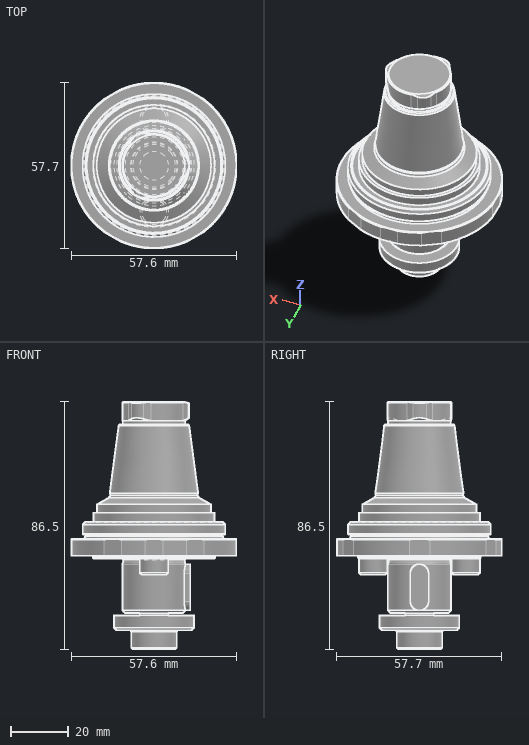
import cadquery as cq
import math

total_height = 86.5

nose_radius = 16.0 / 2
nose_chamfer = 0.6
root_flare = 0.3
root_flare_height = 0.4
disc_bottom = 6.6
disc_top = 11.85
disc_radius = 28.0 / 2
disc_chamfer = 0.95
pin_radius = 10.0 / 2

spigot_bottom = 12.6
spigot_radius = 11.1
spigot_chamfer = 0.95
spigot_shoulder = 29.75
relief_height = 0.9
relief_radius = 21.6 / 2
key_reach = 12.7
key_width = 6.4
key_bottom = 13.6

plate_bottom = 31.7
plate_radius = 43.0 / 2
plate_chamfer = 0.4
ring_bottom = 32.6
ring_top = 38.6
ring_chamfer = 0.3
main_flat_distance = 57.6 / 2
cross_flat_distance = 57.7 / 2
main_flat_half_angle = 7.0
ring_radius = main_flat_distance / math.cos(math.radians(main_flat_half_angle))

neck_radius = 48.1 / 2
neck_flare = 0.35
neck_flare_height = 0.95
flange_bottom = 40.0
flange_top = 44.6
flange_radius = 50.0 / 2
flange_chamfer = 1.0
flange_recess_radius = 23.4
flange_recess_depth = 0.2
flange_bottom_chamfer = 0.35
middle_step_top = 47.75
middle_step_radius = 42.4 / 2
upper_step_top = 50.6
upper_step_radius = 40.0 / 2

collar_bottom = 52.9
collar_bottom_radius = 15.8
collar_top = 53.8
collar_radius = 15.2
taper_bottom = 54.6
taper_bottom_radius = 15.5
taper_top = 78.2
taper_top_radius = 12.4
taper_chamfer = 0.5
head_neck_radius = 22.0 / 2

head_bottom = 79.8
head_radius = 11.1
head_chamfer = 0.35
lobe_count = 3
lobe_reach = 12.3
lobe_shoulder_radius = 11.85
lobe_shoulder_angle = 11.5
lobe_root_angle = 24.0
lobe_top_drop = 0.5
lobe_bottom_rise = 1.0

drive_pin_offset = 16.2
drive_pin_bottom = 26.0
drive_pin_chamfer = 0.7


def make_turned_body():
    profile = [
        (0, 0),
        (nose_radius - nose_chamfer, 0),
        (nose_radius, nose_chamfer),
        (nose_radius, disc_bottom - root_flare_height),
        (nose_radius + root_flare, disc_bottom),
        (disc_radius - disc_chamfer, disc_bottom),
        (disc_radius, disc_bottom + disc_chamfer),
        (disc_radius, disc_top),
        (pin_radius, disc_top),
        (pin_radius, spigot_bottom),
        (spigot_radius - spigot_chamfer, spigot_bottom),
        (spigot_radius, spigot_bottom + spigot_chamfer),
        (spigot_radius, spigot_shoulder),
        (relief_radius, spigot_shoulder + relief_height),
        (relief_radius, plate_bottom - root_flare_height),
        (relief_radius + root_flare, plate_bottom),
        (plate_radius - plate_chamfer, plate_bottom),
        (plate_radius, plate_bottom + plate_chamfer),
        (plate_radius, ring_bottom),
        (neck_radius + neck_flare, ring_bottom),
        (neck_radius + neck_flare, ring_top),
        (neck_radius, ring_top + neck_flare_height),
        (neck_radius, flange_bottom),
        (flange_radius - flange_bottom_chamfer, flange_bottom),
        (flange_radius, flange_bottom + flange_bottom_chamfer),
        (flange_radius, flange_top - flange_chamfer),
        (flange_radius - flange_chamfer, flange_top),
        (flange_recess_radius, flange_top),
        (flange_recess_radius, flange_top - flange_recess_depth),
        (middle_step_radius, flange_top - flange_recess_depth),
        (middle_step_radius, middle_step_top),
        (upper_step_radius, middle_step_top),
        (upper_step_radius, upper_step_top),
        (collar_bottom_radius, collar_bottom),
        (collar_radius, collar_top),
        (taper_bottom_radius, taper_bottom),
        (taper_top_radius, taper_top),
        (taper_top_radius - taper_chamfer, taper_top + taper_chamfer),
        (head_neck_radius, taper_top + taper_chamfer),
        (head_neck_radius, head_bottom),
        (head_radius, head_bottom),
        (head_radius, total_height - head_chamfer),
        (head_radius - head_chamfer, total_height),
        (0, total_height),
    ]
    return cq.Workplane("XZ").polyline(profile).close().revolve(360, (0, 0), (0, 1))


def make_ring():
    """Disc whose rim has six main flats and a pair of cross flats on the Y axis."""
    height = ring_top - ring_bottom
    ring = cq.Workplane("XY").workplane(offset=ring_bottom).circle(ring_radius).extrude(height)
    ring = ring.faces(">Z").edges().chamfer(ring_chamfer)
    flats = [(angle, main_flat_distance) for angle in range(0, 360, 60)]
    flats += [(angle, cross_flat_distance) for angle in (90, 270)]
    for angle, distance in flats:
        cutter = (
            cq.Workplane("XY")
            .workplane(offset=ring_bottom)
            .center(distance + ring_radius / 2, 0)
            .rect(ring_radius, ring_radius)
            .extrude(height)
            .rotate((0, 0, 0), (0, 0, 1), angle)
        )
        ring = ring.cut(cutter)
    return ring


def polar(radius, degrees):
    angle = math.radians(degrees)
    return (radius * math.cos(angle), radius * math.sin(angle))


def make_lobe():
    """One bump on the +X side of the head, trimmed by cones at both ends."""
    outline = (
        cq.Workplane("XY")
        .workplane(offset=head_bottom)
        .moveTo(0, 0)
        .lineTo(*polar(head_radius, -lobe_root_angle))
        .lineTo(*polar(lobe_shoulder_radius, -lobe_shoulder_angle))
        .threePointArc((lobe_reach, 0), polar(lobe_shoulder_radius, lobe_shoulder_angle))
        .lineTo(*polar(head_radius, lobe_root_angle))
        .close()
        .extrude(total_height - head_bottom)
    )
    envelope = (
        cq.Workplane("XZ")
        .polyline([
            (0, head_bottom),
            (head_neck_radius, head_bottom),
            (lobe_reach, head_bottom + lobe_bottom_rise),
            (lobe_reach, total_height - lobe_top_drop),
            (head_radius - head_chamfer, total_height),
            (0, total_height),
        ])
        .close()
        .revolve(360, (0, 0), (0, 1))
    )
    return outline.intersect(envelope)


def make_key():
    """Round-ended key set into the +X side of the spigot."""
    length = spigot_shoulder - key_bottom
    return (
        cq.Workplane("YZ")
        .center(0, key_bottom + length / 2)
        .slot2D(length, key_width, 90)
        .extrude(key_reach)
    )


def make_drive_pin(y):
    return (
        cq.Workplane("XY")
        .workplane(offset=drive_pin_bottom)
        .center(0, y)
        .circle(pin_radius)
        .extrude(ring_bottom - drive_pin_bottom)
        .faces("<Z")
        .chamfer(drive_pin_chamfer)
    )


result = make_turned_body().union(make_ring()).union(make_key())
for side in (-1, 1):
    result = result.union(make_drive_pin(side * drive_pin_offset))
for index in range(lobe_count):
    lobe_angle = index * 360 / lobe_count
    result = result.union(make_lobe().rotate((0, 0, 0), (0, 0, 1), lobe_angle))